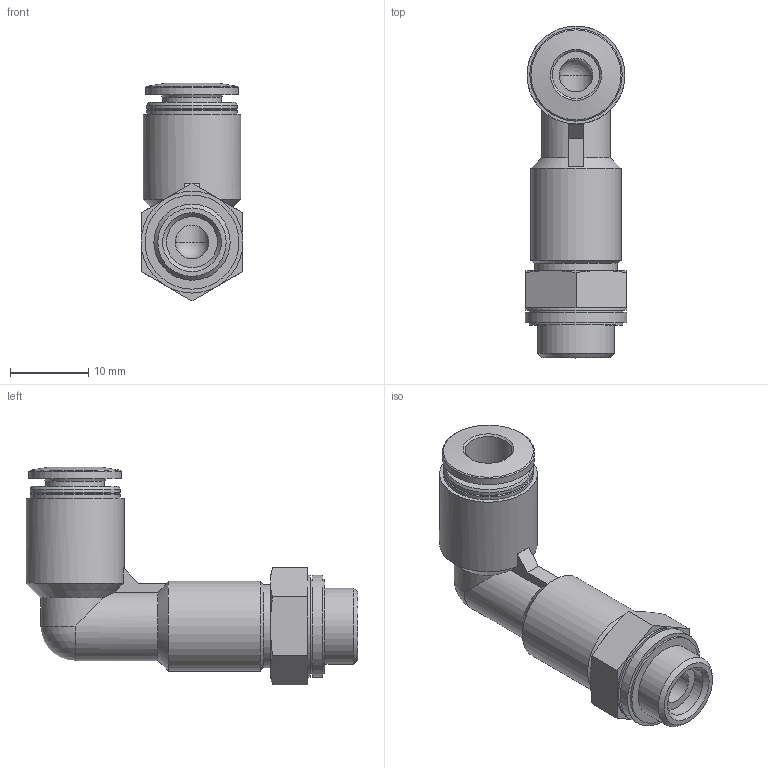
import cadquery as cq
import math


elbow_diameter = 8.8
bore_diameter = 4.3

body_diameter = 12.5
body_bottom = 5.45
body_top = 16.35
collar_diameter = 11.5
collar_top = 17.83
collar_chamfer_height = 0.35
collar_chamfer_inset = 0.17
collar_groove_height = 16.93
collar_groove_width = 0.25
collar_groove_depth = 0.1

neck_diameter = 7.5
neck_flare_height = 0.35
neck_flare = 0.2
rim_diameter = 11.8
rim_bottom = 18.82
rim_top = 19.9
rim_chamfer = 0.15
button_top = 20.305
tube_diameter = 6.0
tube_mouth_diameter = 6.49
tube_bottom = body_bottom

sleeve_diameter = 11.5
sleeve_start = 11.9
sleeve_end = 23.66
sleeve_end_chamfer = 0.35
stem_neck_diameter = 10.6

hex_across_flats = 13.0
hex_start = 24.95
hex_end = 29.72
hex_chamfer_diameter = 13.0
hex_chamfer_angle = 15.0
flange_diameter = 13.0
flange_end = 30.0
seal_diameter = 13.0
seal_land_diameter = 12.0
seal_start = 30.3
seal_step = 31.62
seal_end = 31.9

spigot_diameter = 9.73
spigot_end = 36.1
spigot_chamfer_length = 0.57
spigot_chamfer_inset = 0.5
counterbore_diameter = 6.49
counterbore_mouth_diameter = 7.5
counterbore_depth = 2.1
counterbore_chamfer_length = 0.6

rib_width = 2.0
rib_height = body_bottom
rib_slope_height = 2.0
rib_slope_length = 1.8


def turned(profile):
    """Revolve (radius, height) points about the Z axis."""
    return cq.Workplane("XZ").polyline(profile).close().revolve(360, (0, 0, 0), (0, 1, 0))


def along_stem(solid):
    """Turn a solid built along +Z so that it points along -Y."""
    return solid.rotate((0, 0, 0), (1, 0, 0), 90)


def port():
    elbow_radius = elbow_diameter / 2
    body_radius = body_diameter / 2
    collar_radius = collar_diameter / 2
    neck_radius = neck_diameter / 2
    rim_radius = rim_diameter / 2
    groove_half = collar_groove_width / 2
    return turned([
        (0, 0),
        (elbow_radius, 0),
        (elbow_radius, body_bottom - (body_radius - elbow_radius)),
        (body_radius, body_bottom),
        (body_radius, body_top),
        (collar_radius, body_top),
        (collar_radius, collar_groove_height - groove_half),
        (collar_radius - collar_groove_depth, collar_groove_height),
        (collar_radius, collar_groove_height + groove_half),
        (collar_radius, collar_top - collar_chamfer_height),
        (collar_radius - collar_chamfer_inset, collar_top),
        (neck_radius, collar_top),
        (neck_radius, rim_bottom - neck_flare_height),
        (neck_radius + neck_flare, rim_bottom),
        (rim_radius, rim_bottom),
        (rim_radius, rim_top - rim_chamfer),
        (rim_radius - rim_chamfer, rim_top),
        (tube_mouth_diameter / 2, button_top),
        (0, button_top),
    ])


def stem():
    elbow_radius = elbow_diameter / 2
    sleeve_radius = sleeve_diameter / 2
    neck_radius = stem_neck_diameter / 2
    flange_radius = flange_diameter / 2
    seal_radius = seal_diameter / 2
    land_radius = seal_land_diameter / 2
    spigot_radius = spigot_diameter / 2
    return along_stem(turned([
        (0, 0),
        (elbow_radius, 0),
        (elbow_radius, sleeve_start - (sleeve_radius - elbow_radius)),
        (sleeve_radius, sleeve_start),
        (sleeve_radius, sleeve_end),
        (neck_radius, sleeve_end + sleeve_end_chamfer),
        (neck_radius, hex_end),
        (flange_radius, hex_end),
        (flange_radius, flange_end),
        (land_radius, flange_end),
        (land_radius, seal_start),
        (seal_radius, seal_start),
        (seal_radius, seal_step),
        (land_radius, seal_step),
        (land_radius, seal_end),
        (spigot_radius, seal_end),
        (spigot_radius, spigot_end - spigot_chamfer_length),
        (spigot_radius - spigot_chamfer_inset, spigot_end),
        (0, spigot_end),
    ]))


def hexagon():
    """Hexagon with two corners on the Z axis, its inner face chamfered."""
    corner_radius = hex_across_flats / 2 / math.cos(math.radians(30))
    chamfer_radius = hex_chamfer_diameter / 2
    chamfer_length = (corner_radius - chamfer_radius) * math.tan(math.radians(hex_chamfer_angle))
    prism = (
        cq.Workplane("XY", origin=(0, 0, hex_start))
        .polygon(6, 2 * corner_radius)
        .extrude(hex_end - hex_start)
        .rotate((0, 0, 0), (0, 0, 1), 30)
    )
    envelope = turned([
        (0, hex_start),
        (chamfer_radius, hex_start),
        (corner_radius, hex_start + chamfer_length),
        (corner_radius, hex_end),
        (0, hex_end),
    ])
    return along_stem(prism.intersect(envelope))


def rib():
    body_radius = body_diameter / 2
    slope_foot = body_radius + rib_slope_length
    return (
        cq.Workplane("YZ")
        .polyline([
            (0, 0),
            (0, rib_height + rib_slope_height),
            (-body_radius, rib_height + rib_slope_height),
            (-slope_foot, rib_height),
            (-sleeve_start, rib_height),
            (-sleeve_start, 0),
        ])
        .close()
        .extrude(rib_width / 2, both=True)
    )


def port_bore():
    bore_radius = bore_diameter / 2
    tube_radius = tube_diameter / 2
    mouth_radius = tube_mouth_diameter / 2
    return turned([
        (0, 0),
        (bore_radius, 0),
        (bore_radius, tube_bottom),
        (tube_radius, tube_bottom),
        (tube_radius, button_top - (mouth_radius - tube_radius)),
        (mouth_radius, button_top),
        (0, button_top),
    ])


def stem_bore():
    bore_radius = bore_diameter / 2
    counterbore_radius = counterbore_diameter / 2
    counterbore_bottom = spigot_end - counterbore_depth
    return along_stem(turned([
        (0, 0),
        (bore_radius, 0),
        (bore_radius, counterbore_bottom),
        (counterbore_radius, counterbore_bottom),
        (counterbore_radius, spigot_end - counterbore_chamfer_length),
        (counterbore_mouth_diameter / 2, spigot_end),
        (0, spigot_end),
    ]))


outer_corner = cq.Workplane("XY").sphere(elbow_diameter / 2)
inner_corner = cq.Workplane("XY").sphere(bore_diameter / 2)

outside = outer_corner.union(port()).union(stem()).union(hexagon()).union(rib())
passage = inner_corner.union(port_bore()).union(stem_bore())
result = outside.cut(passage)